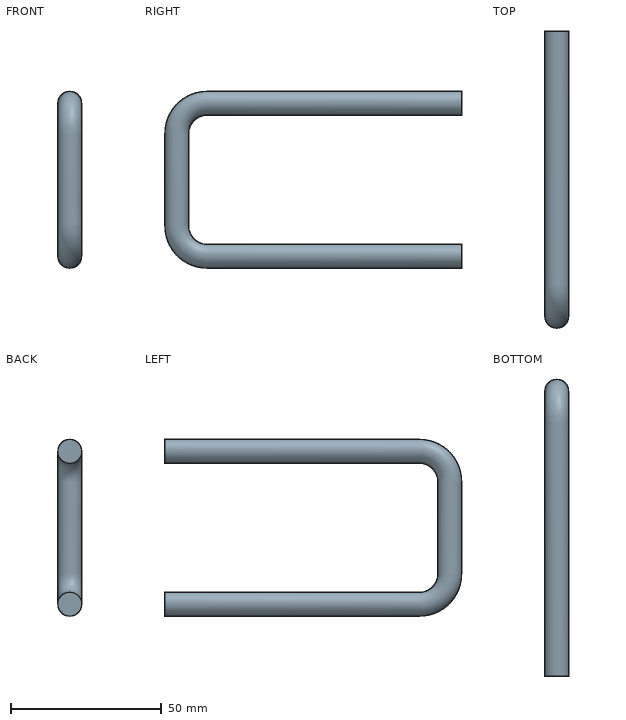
import cadquery as cq

rod_diameter = 8.0
overall_length = 99.0
overall_height = 59.0
bend_radius = 10.1

rod_radius = rod_diameter / 2
open_end_y = overall_length / 2
crossbar_y = -overall_length / 2 + rod_radius
leg_z = overall_height / 2 - rod_radius
bend_start_y = crossbar_y + bend_radius
bend_end_z = leg_z - bend_radius

centreline = (
    cq.Workplane("YZ")
    .moveTo(open_end_y, leg_z)
    .lineTo(bend_start_y, leg_z)
    .tangentArcPoint((crossbar_y, bend_end_z), relative=False)
    .lineTo(crossbar_y, -bend_end_z)
    .tangentArcPoint((bend_start_y, -leg_z), relative=False)
    .lineTo(open_end_y, -leg_z)
)

result = (
    cq.Workplane("XZ", origin=(0, open_end_y, leg_z))
    .circle(rod_radius)
    .sweep(centreline)
)